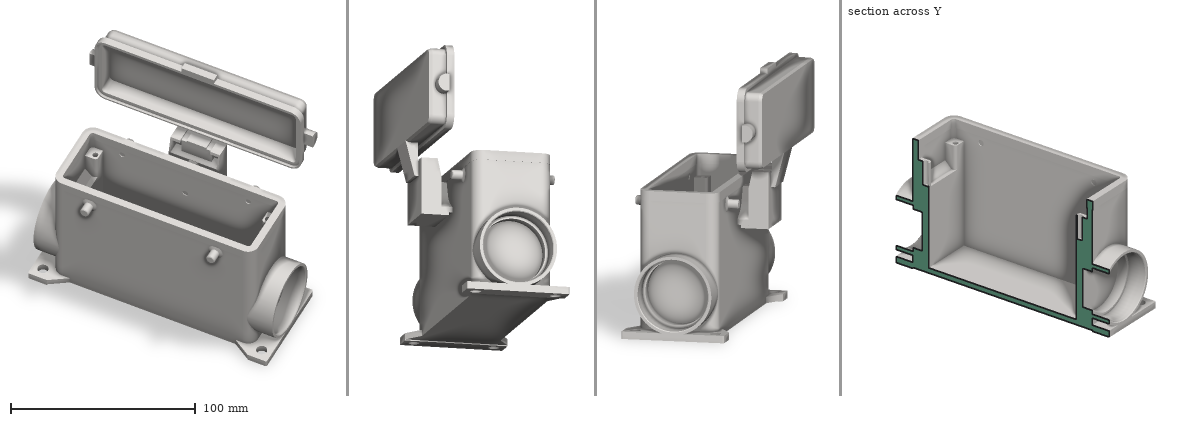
import cadquery as cq

total_length = 144.0
total_height = 140.7

body_length = 121.4
body_width = 43.9
body_bottom = 0.6
body_top = 79.9
body_corner = 6.0
rim_height = 5.3
rim_overhang = 0.1
wall = 4.0
cavity_corner = 1.7
cavity_undercut = 0.1
cavity_lower_corner = 2.3
floor_top = 4.0

post_length = 7.0
post_width = 7.3
post_top = 68.1
post_round = 1.7
post_hole_radius = 1.6
post_hole_depth = 14.4
post_hole_x = 52.0
post_hole_y = 13.5
block_top = 53.3
ramp_run = 4.0

entry_z = 24.8
entry_radius = 21.6
entry_bore_radius = 19.6
entry_bore_depth = 11.5
entry_mouth_chamfer = 0.5
entry_mouth_angle = 45.0
entry_seat_radius = 18.0
entry_seat_depth = 17.7

foot_width = 57.3
foot_thickness = 4.0
foot_straight = 11.5
foot_inner_x = 50.0
foot_corner = 0.9
foot_hole_radius = 3.0
foot_hole_x = 66.0
foot_hole_y = 22.3

peg_x = 38.0
peg_z = 70.5
peg_radius = 2.6
peg_base_radius = 4.3
peg_base_height = 0.9
peg_chamfer = 0.5

rivet_radius = 1.7
rivet_depth = 0.5
hinge_rivet_z = 58.3

lid_z = 114.8
lid_front = 33.3
lid_back = 46.7
lid_length = 119.5
lid_height = 41.8
lid_corner = 4.2
lid_back_chamfer = 0.7
lid_back_chamfer_depth = 1.7
flange_length = 124.1
flange_height = 46.1
flange_corner = 6.6
flange_thickness = 4.2
flange_lip = 1.0
flange_lip_depth = 1.5
lid_cavity_length = 117.0
lid_cavity_height = 38.9
lid_cavity_corner = 2.3
lid_back_wall = 2.2
tab_length = 19.6
lug_length = 134.8
lug_radius = 4.8
lug_y = 38.7

arm_length = 18.1
arm_front = 39.7
arm_bottom = 75.5
arm_tip_back = 41.6
arm_seat = 38.6
case_length = 29.8
case_back = 39.3
case_front = 28.1
case_bottom = 53.3
case_top = 84.5
case_top_front = 30.2
case_slope_bottom = 74.6
case_corner = 0.5
case_wall = 1.0
case_floor = 1.7
case_floor_front = 23.9
case_core_length = 12.0
case_core_front = 31.7
case_step_drop = 1.0
pocket_roof = 1.7
pocket_back = 35.3

bell_top_x, bell_top_z = 2.5, 74.3
bell_shoulder_x, bell_shoulder_z = 5.5, 66.2
bell_bend_x, bell_bend_z = 7.6, 62.8
bell_skirt_x, bell_skirt_z = 10.8, 60.3
bell_end_z = 58.0
bell_inset = 0.3

half_body_width = body_width / 2
half_foot_width = foot_width / 2
half_total = total_length / 2
half_case = case_length / 2
half_arm = arm_length / 2
half_core = case_core_length / 2
half_bracket = half_case - bell_inset
cavity_length = body_length - 2 * wall
cavity_width = body_width - 2 * wall
flange_back = lid_front + flange_thickness


def box(x_range, y_range, z_range):
    """Axis-aligned box given by its limits on each axis."""
    size = [high - low for low, high in (x_range, y_range, z_range)]
    corner = (x_range[0], y_range[0], z_range[0])
    return cq.Workplane("XY").box(*size, centered=False).translate(corner)


def upright_block(length, width, corner, bottom, top):
    """Block with rounded vertical edges, centred on the housing."""
    block = cq.Workplane("XY").workplane(offset=bottom).rect(length, width).extrude(top - bottom)
    return block.edges("|Z").fillet(corner)


def lid_block(length, height, corner, front, back):
    """Block with rounded edges along Y, centred on the lid."""
    block = cq.Workplane("XZ", origin=(0, back, lid_z)).rect(length, height).extrude(back - front)
    return block.edges("|Y").fillet(corner)


def side_profile(points, length):
    """Extrude a (Y, Z) outline along X, symmetric about the YZ plane."""
    return cq.Workplane("YZ").polyline(points).close().extrude(length / 2, both=True)


def both_ends(shape):
    """Add the mirror image of a shape at the other end of the part."""
    return shape.union(shape.mirror("YZ"))


def x_cylinder(radius, start, length):
    """Cylinder along +X on the cable entry axis."""
    return cq.Workplane("YZ", origin=(start, 0, entry_z)).circle(radius).extrude(length)


def make_foot():
    """Plate under the -X cable entry, with two wings tapering along the housing."""
    outer_x = -half_total
    knee_x = outer_x + foot_straight
    outline = [
        (outer_x, -half_foot_width),
        (knee_x, -half_foot_width),
        (-foot_inner_x, -half_body_width),
        (-foot_inner_x, half_body_width),
        (knee_x, half_foot_width),
        (outer_x, half_foot_width),
    ]
    foot = cq.Workplane("XY").polyline(outline).close().extrude(foot_thickness)
    foot = foot.edges("|Z and <X").fillet(foot_corner)
    inboard = box((knee_x, 0), (-half_foot_width, half_foot_width), (0, body_bottom))
    holes = cq.Workplane("XY").pushPoints([(-foot_hole_x, y) for y in (-foot_hole_y, foot_hole_y)])
    return foot.cut(inboard).cut(holes.circle(foot_hole_radius).extrude(foot_thickness))


def make_end_block():
    """Block inside the -X end: two screw posts with a lower ramped web between them."""
    outer_x = -body_length / 2 + wall
    inner_x = outer_x + post_length
    half_gap = cavity_width / 2 - post_width
    web = (
        cq.Workplane("XZ")
        .moveTo(outer_x - wall / 2, floor_top)
        .lineTo(inner_x, floor_top)
        .lineTo(inner_x, block_top)
        .lineTo(outer_x + ramp_run, block_top)
        .lineTo(outer_x, block_top + ramp_run)
        .lineTo(outer_x - wall / 2, block_top + ramp_run)
        .close()
        .extrude(cavity_width / 2, both=True)
    )
    post = box((outer_x - wall / 2, inner_x), (half_gap, cavity_width / 2 + wall / 2), (floor_top, post_top))
    post = post.edges("|Z and >X and <Y").fillet(post_round)
    hole = (
        cq.Workplane("XY", origin=(-post_hole_x, post_hole_y, post_top))
        .circle(post_hole_radius)
        .extrude(-post_hole_depth)
    )
    block = web.union(post).union(post.mirror("XZ"))
    return block.cut(hole).cut(hole.mirror("XZ"))


def make_peg():
    """Locking peg on the -Y face: a conical base and a chamfered pin, turned about Y."""
    height = half_foot_width - half_body_width
    root = -wall / 2
    outline = [
        (0, root),
        (peg_base_radius, root),
        (peg_base_radius, 0),
        (peg_radius, peg_base_height),
        (peg_radius, height - peg_chamfer),
        (peg_radius - peg_chamfer, height),
        (0, height),
    ]
    peg = cq.Workplane("XY").polyline(outline).close().revolve(360, (0, 0, 0), (0, 1, 0))
    return peg.mirror("XZ").translate((-peg_x, -half_body_width, peg_z))


def make_housing():
    shell = upright_block(body_length, body_width, body_corner, body_bottom, body_top)
    rim = upright_block(
        body_length + 2 * rim_overhang,
        body_width + 2 * rim_overhang,
        body_corner + rim_overhang,
        body_top - rim_height,
        body_top,
    )
    entry = x_cylinder(entry_radius, -half_total, half_total - body_length / 2 + body_corner)
    shell = shell.union(rim).union(both_ends(entry)).union(both_ends(make_foot()))
    shell = shell.cut(upright_block(cavity_length, cavity_width, cavity_corner, floor_top, body_top))
    shell = shell.cut(
        upright_block(
            cavity_length + 2 * cavity_undercut,
            cavity_width + 2 * cavity_undercut,
            cavity_lower_corner,
            floor_top,
            body_top - rim_height,
        )
    )
    shell = shell.union(both_ends(make_end_block()))

    bore = x_cylinder(entry_bore_radius, -half_total, entry_bore_depth)
    seat = x_cylinder(entry_seat_radius, -half_total, entry_seat_depth)
    mouth_radius = entry_bore_radius + entry_mouth_chamfer
    mouth = cq.Workplane("YZ", origin=(-half_total, 0, entry_z)).circle(mouth_radius)
    mouth = mouth.extrude(entry_mouth_chamfer, taper=entry_mouth_angle)
    shell = shell.cut(both_ends(bore.union(seat).union(mouth)))

    pegs = both_ends(make_peg())
    return shell.union(pegs).union(pegs.mirror("XZ"))


def make_lid():
    cap = lid_block(lid_length, lid_height, lid_corner, lid_front, lid_back)
    cap = cap.faces(">Y").chamfer(lid_back_chamfer_depth, lid_back_chamfer)
    flange = lid_block(flange_length, flange_height, flange_corner, lid_front, flange_back)
    lug = (
        cq.Workplane("YZ", origin=(0, lug_y, lid_z))
        .circle(lug_radius)
        .extrude(lug_length / 2, both=True)
        .intersect(box((-lug_length, lug_length), (flange_back, lid_back), (0, total_height)))
    )
    tab = box((-tab_length / 2, tab_length / 2), (lid_front, flange_back), (lid_z, total_height))
    recess = lid_block(
        flange_length - 2 * flange_lip,
        flange_height - 2 * flange_lip,
        flange_corner - flange_lip,
        lid_front,
        lid_front + flange_lip_depth,
    )
    cavity = lid_block(
        lid_cavity_length, lid_cavity_height, lid_cavity_corner, lid_front, lid_back - lid_back_wall
    )
    return cap.union(flange).union(lug).union(tab).cut(recess).cut(cavity)


def make_arm():
    """Tapered arm hanging from the lid and resting against the hinge case."""
    lid_bottom = lid_z - lid_height / 2
    arm_root = lid_bottom + lid_back_chamfer
    outline = [
        (arm_front, arm_root),
        (lid_back, arm_root),
        (arm_tip_back, arm_bottom),
        (arm_seat, arm_bottom),
        (arm_seat, case_top - case_step_drop),
        (arm_front, case_top - case_step_drop),
    ]
    return side_profile(outline, arm_length)


def make_case():
    """Hinge case, hollowed from the front on either side of a central core."""
    outline = [
        (case_floor_front, case_bottom),
        (case_back, case_bottom),
        (case_back, case_top),
        (case_top_front, case_top),
        (case_front, case_slope_bottom),
        (case_front, case_bottom + case_floor),
        (case_floor_front, case_bottom + case_floor),
    ]
    pocket = box(
        (-half_case + case_wall, -half_arm),
        (case_front, pocket_back),
        (case_slope_bottom, case_top - pocket_roof),
    )
    core_relief = box(
        (-half_arm, half_arm), (case_front, case_core_front), (case_slope_bottom, case_top)
    )
    step = box(
        (-half_arm, -half_core), (case_front, case_back), (case_top - case_step_drop, case_top)
    )
    case = side_profile(outline, case_length).edges("|Z and >Y").fillet(case_corner)
    return case.cut(both_ends(pocket.union(step))).cut(core_relief)


def make_bracket():
    """Bell-shaped bracket joining the hinge case to the housing wall."""
    back = case_core_front
    front = half_body_width - wall / 2
    base = case_bottom + case_floor
    outline = (
        cq.Workplane("XZ", origin=(0, back, 0))
        .moveTo(-half_bracket, base)
        .lineTo(-half_bracket, bell_end_z)
        .lineTo(-bell_skirt_x, bell_skirt_z)
        .threePointArc((-bell_bend_x, bell_bend_z), (-bell_shoulder_x, bell_shoulder_z))
        .lineTo(-bell_top_x, bell_top_z)
        .lineTo(bell_top_x, bell_top_z)
        .lineTo(bell_shoulder_x, bell_shoulder_z)
        .threePointArc((bell_bend_x, bell_bend_z), (bell_skirt_x, bell_skirt_z))
        .lineTo(half_bracket, bell_end_z)
        .lineTo(half_bracket, base)
        .close()
    )
    return outline.extrude(back - front)


def make_rivet_marks():
    """Shallow round recesses in the inner walls, behind the pegs and the hinge bracket."""
    y = cavity_width / 2 + cavity_undercut + rivet_depth
    peg_marks = cq.Workplane("XZ").pushPoints([(-peg_x, peg_z), (peg_x, peg_z)]).circle(rivet_radius)
    peg_marks = peg_marks.extrude(y, both=True)
    hinge_mark = cq.Workplane("XZ").center(0, hinge_rivet_z).circle(rivet_radius).extrude(-y)
    return peg_marks.union(hinge_mark)


result = make_housing().union(make_bracket()).union(make_case()).union(make_arm()).union(make_lid())
result = result.cut(make_rivet_marks())